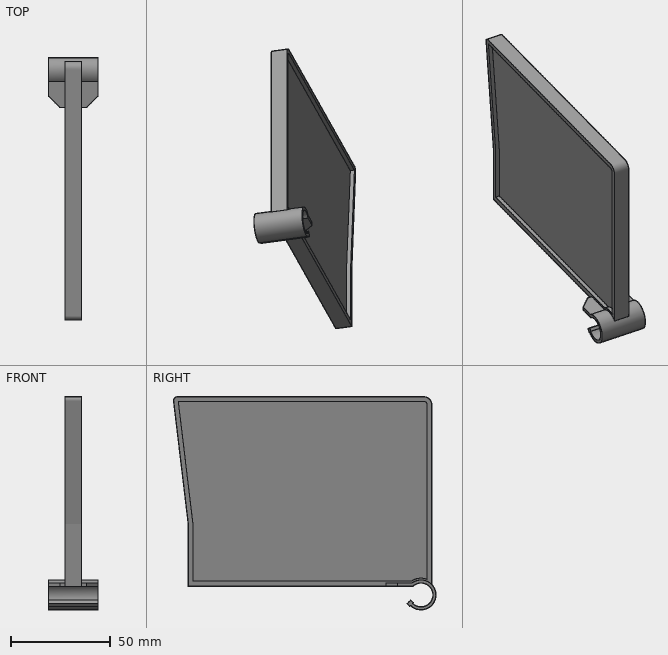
import cadquery as cq
import math

length = 131.8
height = 107.0

clip_width = 25.0
clip_radius = 7.5
clip_wall = 1.6
bore_radius = clip_radius - clip_wall
clip_y = -clip_radius
clip_z = clip_radius
opening_angle = -45.0

lip_inner = 5.5
lip_outer = 8.0
lip_length = 1.8

tab_bottom = 11.9
tab_thickness = 1.7
tab_end = -25.2
tab_chamfer = 5.9

panel_thickness = 8.3
panel_back = -2.1
panel_front = -124.4
slope_start = 43.1
back_radius = 4.0
nose_radius = 2.0

rim = 2.4
bottom_rim = 2.8
recess_depth = 2.1
recess_clip_radius = 8.4

nose_center_y = -length + nose_radius
nose_center_z = height - nose_radius
nose_dy = panel_front - nose_center_y
nose_dz = nose_center_z - slope_start
slope_angle = math.atan2(nose_dy, nose_dz) + math.asin(nose_radius / math.hypot(nose_dy, nose_dz))
slope = math.tan(slope_angle)


def extrude_x(sketch, width):
    """Extrude a YZ sketch equally to both sides of X = 0."""
    return sketch.extrude(width / 2, both=True)


def cylinder(radius, width):
    """Cylinder along X, concentric with the clip."""
    return extrude_x(cq.Workplane("YZ").center(clip_y, clip_z).circle(radius), width)


def panel_outline(inset, bottom):
    """Five-sided panel outline, moved inward by inset above its bottom edge."""
    front = panel_front + inset
    top = height - inset
    kink = slope_start + inset * math.tan(slope_angle / 2)
    points = [
        (panel_back - inset, bottom),
        (front, bottom),
        (front, kink),
        (front - slope * (top - kink), top),
        (panel_back - inset, top),
    ]
    return cq.Workplane("YZ").polyline(points).close()


def make_panel():
    panel = extrude_x(panel_outline(0, tab_bottom), panel_thickness)
    panel = panel.edges("|X and >Z and >Y").fillet(back_radius)
    return panel.edges("|X and >Z and <Y").fillet(nose_radius)


def make_recess(side):
    """Cutter for the recess on the -X (side = -1) or +X (side = 1) face."""
    recess = panel_outline(rim, tab_bottom + bottom_rim).extrude(recess_depth)
    recess = recess.edges("|X and >Z and >Y").fillet(back_radius - rim)
    face_x = panel_thickness / 2
    start_x = face_x - recess_depth if side > 0 else -face_x
    recess = recess.translate((start_x, 0, 0))
    return recess.cut(cylinder(recess_clip_radius, panel_thickness))


def make_tab():
    tab_length = clip_y - tab_end
    tab = cq.Workplane("XY").box(clip_width, tab_length, tab_thickness, centered=(True, False, False))
    tab = tab.translate((0, tab_end, tab_bottom))
    return tab.edges("|Z and <Y").chamfer(tab_chamfer)


def make_opening():
    """Wedge between the clip's lower end and the underside of the tab."""
    reach = 2 * clip_radius
    angle = math.radians(opening_angle)
    tab_offset = tab_bottom - clip_z
    bore_edge = math.sqrt(bore_radius**2 - tab_offset**2)
    points = [
        (0, 0),
        (-reach * math.cos(angle), reach * math.sin(angle)),
        (-reach, tab_offset),
        (-bore_edge, tab_offset),
    ]
    return extrude_x(cq.Workplane("YZ").center(clip_y, clip_z).polyline(points).close(), clip_width)


def make_lip():
    lip = cq.Workplane("XY").box(
        clip_width, lip_outer - lip_inner, lip_length, centered=(True, False, False)
    )
    lip = lip.translate((0, -lip_outer, 0))
    lip = lip.rotate((0, 0, 0), (1, 0, 0), -opening_angle)
    return lip.translate((0, clip_y, clip_z))


body = make_panel()
for side in (-1, 1):
    body = body.cut(make_recess(side))

clip = cylinder(clip_radius, clip_width).cut(make_opening())
body = body.union(clip).union(make_tab())
body = body.cut(cylinder(bore_radius, clip_width))
result = body.union(make_lip())